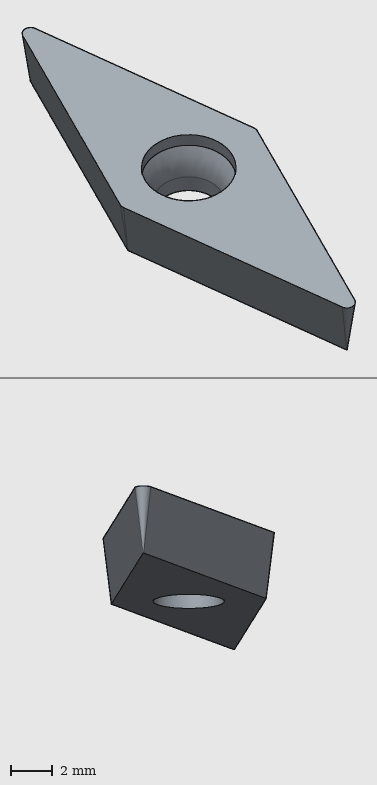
import cadquery as cq
import math

length = 23.45
width = 7.95
thickness = 3.19

nose_angle = 35.0
clearance_angle = 7.0

mouth_diameter = 4.5
bore_diameter = 3.4
mouth_depth = 0.7
seat_radius = 2.5

half_angle = math.radians(nose_angle / 2)
tip_reach = 1 / math.tan(half_angle)
nose_radius = (width / 2 * tip_reach - length / 2) / (tip_reach - 1)


def make_body():
    """Rhombus with rounded corners and two sides along X, narrowing downwards."""
    tip_x = width / 2 * tip_reach
    blunt_x = width / 2 * math.tan(half_angle)
    half_width = width / 2
    corners = [
        (-tip_x, -half_width),
        (blunt_x, -half_width),
        (tip_x, half_width),
        (-blunt_x, half_width),
    ]
    blank = cq.Workplane("XY").polyline(corners).close().extrude(-thickness)
    outline = blank.edges("|Z").fillet(nose_radius).faces(">Z").wires()
    return outline.toPending().extrude(-thickness, combine=False, taper=clearance_angle)


def make_screw_hole():
    """Solid of revolution about Z that clears the screw and its head."""
    mouth_radius = mouth_diameter / 2
    bore_radius = bore_diameter / 2
    inset = mouth_radius - bore_radius
    seat_depth = math.sqrt(seat_radius**2 - (seat_radius - inset) ** 2)
    seat_end = -mouth_depth - seat_depth
    half_sweep = math.acos(1 - inset / seat_radius) / 2
    arc_middle = (
        bore_radius + seat_radius * (1 - math.cos(half_sweep)),
        seat_end + seat_radius * math.sin(half_sweep),
    )
    profile = (
        cq.Workplane("XZ")
        .lineTo(mouth_radius, 0)
        .lineTo(mouth_radius, -mouth_depth)
        .threePointArc(arc_middle, (bore_radius, seat_end))
        .lineTo(bore_radius, -thickness)
        .lineTo(0, -thickness)
        .close()
    )
    return profile.revolve(360, (0, 0, 0), (0, 1, 0))


result = make_body().cut(make_screw_hole())